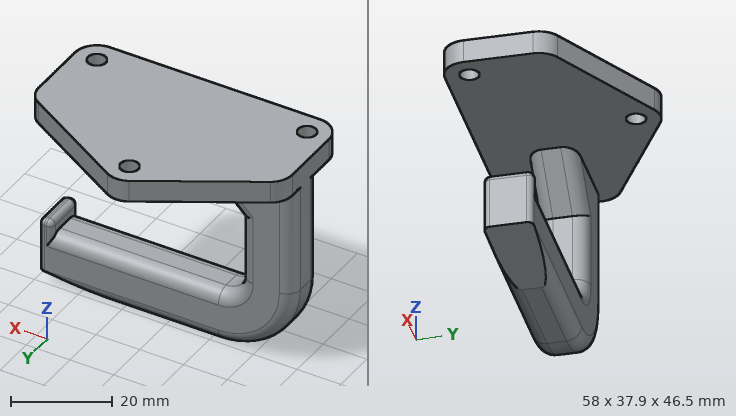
import cadquery as cq
import math

length = 58.0
plate_thickness = 5.0
corner_radius = 5.0
screw_diameter = 4.0
shoulder_height = 14.05
roof_angle = math.radians(30)

pin_hole_diameter = 0.7
pin_hole_depth = 2.0
pin_hole_x = 35.05

arm_depth = 12.0
arm_width = 10.0
arm_center_y = 14.0
arm_rounding = 3.0
hook_drop = 41.5
inner_bend_radius = 5.0
gusset_leg = 10.0

lip_thickness = 3.0
lip_rise = 3.0
lip_rounding = 1.3
taper_length = 20.0
taper_rise = 3.0

outer_bend_radius = inner_bend_radius + arm_depth
hook_bottom = -hook_drop
arm_top = hook_bottom + arm_depth
bend_x = outer_bend_radius
bend_z = hook_bottom + outer_bend_radius
diagonal = math.sqrt(0.5)

left_x = corner_radius
right_x = length - corner_radius
middle_x = length / 2
shoulder_y = corner_radius + shoulder_height
apex_y = shoulder_y + (middle_x - left_x) * math.tan(roof_angle)


def make_plate():
    """Five-sided plate with rounded corners, screw holes and a pin hole."""
    r = corner_radius
    slope_x = r * math.sin(roof_angle)
    slope_y = r * math.cos(roof_angle)
    mid_angle = (math.pi / 2 + roof_angle) / 2
    mid_x = r * math.sin(mid_angle)
    mid_y = r * math.cos(mid_angle)
    outline = (
        cq.Workplane("XY")
        .moveTo(left_x, 0)
        .lineTo(right_x, 0)
        .threePointArc((right_x + r * diagonal, r - r * diagonal), (length, r))
        .lineTo(length, shoulder_y)
        .threePointArc((right_x + mid_x, shoulder_y + mid_y), (right_x + slope_x, shoulder_y + slope_y))
        .lineTo(middle_x + slope_x, apex_y + slope_y)
        .threePointArc((middle_x, apex_y + r), (middle_x - slope_x, apex_y + slope_y))
        .lineTo(left_x - slope_x, shoulder_y + slope_y)
        .threePointArc((left_x - mid_x, shoulder_y + mid_y), (0, shoulder_y))
        .lineTo(0, r)
        .threePointArc((r - r * diagonal, r - r * diagonal), (left_x, 0))
        .close()
    )
    screw_points = [(left_x, corner_radius), (right_x, corner_radius), (middle_x, apex_y)]
    screw_holes = (
        cq.Workplane("XY").pushPoints(screw_points).circle(screw_diameter / 2).extrude(plate_thickness)
    )
    pin_hole = (
        cq.Workplane("XZ")
        .center(pin_hole_x, plate_thickness / 2)
        .circle(pin_hole_diameter / 2)
        .extrude(-pin_hole_depth)
    )
    return outline.extrude(plate_thickness).cut(screw_holes).cut(pin_hole)


def make_arm():
    """J-shaped bar with a gusset, rounded along its long edges."""
    end_x = length - lip_thickness / 2
    top_z = plate_thickness / 2
    outer = outer_bend_radius * diagonal
    inner = inner_bend_radius * diagonal
    bar = (
        cq.Workplane("XZ", origin=(0, arm_center_y, 0))
        .moveTo(0, top_z)
        .lineTo(0, bend_z)
        .threePointArc((bend_x - outer, bend_z - outer), (bend_x, hook_bottom))
        .lineTo(end_x, hook_bottom)
        .lineTo(end_x, arm_top)
        .lineTo(bend_x, arm_top)
        .threePointArc((bend_x - inner, bend_z - inner), (arm_depth, bend_z))
        .lineTo(arm_depth, -gusset_leg)
        .lineTo(arm_depth + gusset_leg + top_z, top_z)
        .close()
        .extrude(arm_width / 2, both=True)
    )
    long_edges = bar.faces("<Y or >Y").edges("not(>X or >Z)")
    return long_edges.fillet(arm_rounding)


def make_lip():
    """Upright end plate, rounded on its vertical and top edges."""
    return (
        cq.Workplane("XY", origin=(length - lip_thickness / 2, arm_center_y, hook_bottom))
        .box(lip_thickness, arm_width, arm_depth + lip_rise, centered=(True, True, False))
        .edges("|Z or >Z")
        .fillet(lip_rounding)
    )


def make_taper_cut():
    """Wedge removed from the underside towards the free end."""
    return (
        cq.Workplane("XZ", origin=(0, arm_center_y, 0))
        .moveTo(length - taper_length, hook_bottom)
        .lineTo(length, hook_bottom)
        .lineTo(length, hook_bottom + taper_rise)
        .close()
        .extrude(arm_width, both=True)
    )


hook = make_arm().union(make_lip()).cut(make_taper_cut())
result = make_plate().union(hook)